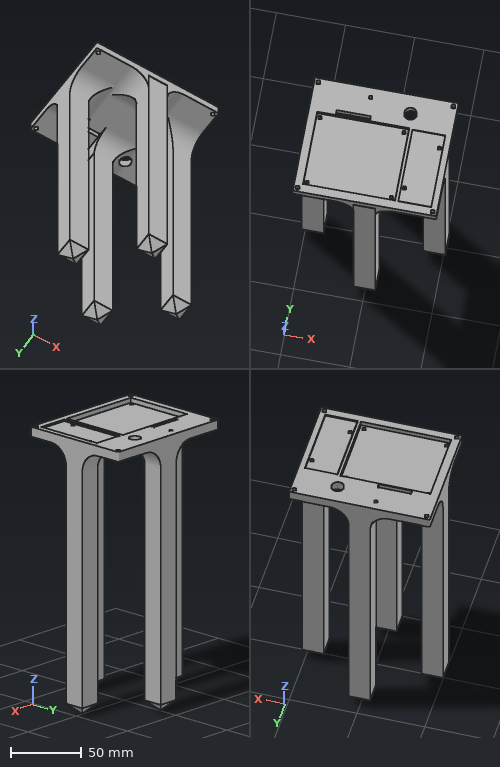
import cadquery as cq

total_height = 207.0
plate_length = 104.0
plate_width = 86.1
plate_thickness = 7.5
corner_radius = 1.0

leg_size = 16.0
tip_height = 7.9
flare_radius = 15.0
front_leg_step = 0.2

corner_hole_diameter = 3.0
corner_hole_inset = 3.1

pocket_front = -plate_width / 2 + 6.5
main_pocket = (-45.5, pocket_front, 66.5, 54.9, 3.7)
side_pocket = (23.4, pocket_front, 23.8, 54.2, 1.2)

screw_hole_diameter = 2.5
screw_hole_depth = 2.5
main_screw_inset = (2.5, 3.0)
main_screw_spacing = (60.9, 49.3)
side_screw_inset = 2.5
side_screw_heights = (10.8, 44.5)

round_opening_diameter = 9.0
round_opening_center = (19.9, 29.0)
small_hole_diameter = 2.5
small_hole_center = (-10.1, 35.8)
slot_length = 24.6
slot_width = 3.0
slot_depth = plate_thickness + 1.0
slot_center = (-19.9, 20.5)

clearance_back_inset = 4.8
clearance_depth = 13.5

plate_bottom = total_height - plate_thickness
plate_back = plate_width / 2
plate_front = -plate_back + front_leg_step


def make_plate():
    return (
        cq.Workplane("XY", origin=(0, (plate_front + plate_back) / 2, plate_bottom))
        .rect(plate_length, plate_back - plate_front)
        .extrude(plate_thickness)
        .edges("|Z")
        .fillet(corner_radius)
    )


def make_flares():
    """Concave flares on the +X, +Y and -Y sides of a leg, mitred where they meet at its inner corners."""
    half = leg_size / 2
    reach = half + flare_radius
    flare_bottom = plate_bottom - flare_radius
    lateral = (
        cq.Workplane("YZ", origin=(-half, 0, 0))
        .moveTo(-half, flare_bottom)
        .radiusArc((-reach, plate_bottom), -flare_radius)
        .lineTo(reach, plate_bottom)
        .radiusArc((half, flare_bottom), -flare_radius)
        .close()
        .extrude(leg_size + flare_radius)
    )
    inward = (
        cq.Workplane("XZ", origin=(0, reach, 0))
        .moveTo(half, flare_bottom)
        .lineTo(-half, flare_bottom)
        .lineTo(-half, plate_bottom)
        .lineTo(reach, plate_bottom)
        .radiusArc((half, flare_bottom), -flare_radius)
        .close()
        .extrude(2 * reach)
    )
    return lateral.intersect(inward)


def make_post():
    """Square post with a four-sided point at its foot."""
    half = leg_size / 2
    outline = [(-half, plate_bottom), (-half, tip_height), (0, 0), (half, tip_height), (half, plate_bottom)]
    along_y = cq.Workplane("XZ", origin=(0, half, 0)).polyline(outline).close().extrude(leg_size)
    along_x = cq.Workplane("YZ", origin=(-half, 0, 0)).polyline(outline).close().extrude(leg_size)
    return along_y.intersect(along_x)


def make_legs():
    post = make_post()
    flares = make_flares()
    x = (plate_length - leg_size) / 2
    y = (plate_width - leg_size) / 2
    front_flare_y = -y + front_leg_step
    legs = cq.Workplane("XY")
    for leg_x, leg_y, flare_y, inward_angle in (
        (-x, 0, 0, 0),
        (0, -y, front_flare_y, 90),
        (x, 0, 0, 180),
        (0, y, y, -90),
    ):
        legs = legs.union(post.translate((leg_x, leg_y, 0)))
        turned_flares = flares.rotate((0, 0, 0), (0, 0, 1), inward_angle)
        legs = legs.union(turned_flares.translate((leg_x, flare_y, 0)))
    return legs


def make_pocket(pocket):
    left, front, length, width, depth = pocket
    return (
        cq.Workplane("XY")
        .box(length, width, depth, centered=False)
        .translate((left, front, total_height - depth))
    )


def make_holes(points, diameter, depth, top=total_height):
    """Vertical drills going down from the given height."""
    return cq.Workplane("XY", origin=(0, 0, top)).pushPoints(points).circle(diameter / 2).extrude(-depth)


def main_screw_points():
    left, front, _, _, _ = main_pocket
    first_x = left + main_screw_inset[0]
    first_y = front + main_screw_inset[1]
    columns = (first_x, first_x + main_screw_spacing[0])
    rows = (first_y, first_y + main_screw_spacing[1])
    return [(x, y) for x in columns for y in rows]


def side_screw_points():
    left, front, length, _, _ = side_pocket
    low, high = side_screw_heights
    return [(left + side_screw_inset, front + low), (left + length - side_screw_inset, front + high)]


def make_clearance():
    """Block beside the back leg that squares off its left flare under the small hole."""
    back = plate_width / 2 - clearance_back_inset
    front = plate_width / 2 - leg_size - flare_radius
    return (
        cq.Workplane("XY")
        .box(flare_radius, back - front, clearance_depth, centered=False)
        .translate((-leg_size / 2 - flare_radius, front, plate_bottom - clearance_depth))
    )


opening_depth = plate_thickness + flare_radius
corner_points = [
    (sx * (plate_length / 2 - corner_hole_inset), sy * (plate_width / 2 - corner_hole_inset))
    for sx in (-1, 1)
    for sy in (-1, 1)
]
slot = (
    cq.Workplane("XY", origin=(0, 0, total_height))
    .center(*slot_center)
    .rect(slot_length, slot_width)
    .extrude(-slot_depth)
)

result = make_plate().union(make_legs())
for pocket, screw_points in ((main_pocket, main_screw_points()), (side_pocket, side_screw_points())):
    floor = total_height - pocket[-1]
    result = result.cut(make_pocket(pocket))
    result = result.cut(make_holes(screw_points, screw_hole_diameter, screw_hole_depth, floor))
result = result.cut(make_holes(corner_points, corner_hole_diameter, plate_thickness))
result = result.cut(make_clearance())
result = result.cut(make_holes([small_hole_center], small_hole_diameter, plate_thickness))
result = result.cut(make_holes([round_opening_center], round_opening_diameter, opening_depth))
result = result.cut(slot)